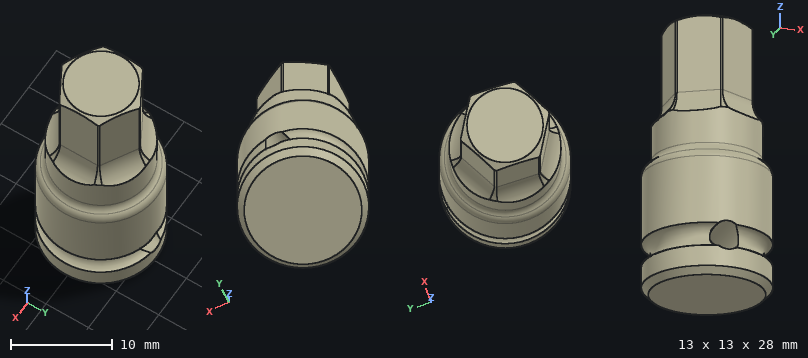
import cadquery as cq
import math

total_height = 28.0
body_radius = 6.5
neck_radius = 5.52
base_chamfer = 0.7

groove_center_z = 4.03
groove_width = 2.38
groove_depth = 0.98
cross_hole_diameter = 3.0

shoulder_top_z = 14.0
shoulder_radius = 1.0

hex_across_flats = 8.0
hex_corner_radius = 4.55
hex_bottom_z = 20.0
flare_radius = 3.0
tip_radius = 3.75
tip_chamfer_angle = 30.0


def make_body():
    """Turned body and neck, up to the floor from which the hexagon flares."""
    groove_bottom_z = groove_center_z - groove_width / 2
    groove_top_z = groove_center_z + groove_width / 2

    half_step = (body_radius - neck_radius) / 2
    sweep = math.acos(1 - half_step / shoulder_radius)
    half_height = shoulder_radius * math.sin(sweep)
    middle_radius = neck_radius + half_step
    middle_z = shoulder_top_z - half_height
    body_top_z = middle_z - half_height
    arc_offset = shoulder_radius * (1 - math.cos(sweep / 2))
    arc_rise = shoulder_radius * math.sin(sweep / 2)

    flare_floor_z = hex_bottom_z - flare_radius
    profile = (
        cq.Workplane("XZ")
        .lineTo(body_radius - base_chamfer, 0)
        .lineTo(body_radius, base_chamfer)
        .lineTo(body_radius, groove_bottom_z)
        .threePointArc((body_radius - groove_depth, groove_center_z), (body_radius, groove_top_z))
        .lineTo(body_radius, body_top_z)
        .threePointArc((body_radius - arc_offset, body_top_z + arc_rise), (middle_radius, middle_z))
        .threePointArc((neck_radius + arc_offset, shoulder_top_z - arc_rise), (neck_radius, shoulder_top_z))
        .lineTo(neck_radius, flare_floor_z)
        .lineTo(0, flare_floor_z)
        .close()
    )
    return profile.revolve(360, (0, 0, 0), (0, 1, 0))


def make_hex_bit():
    """Hexagon with rounded corners, flared into the neck and chamfered at the tip."""
    floor_z = hex_bottom_z - flare_radius
    plate_thickness = 1.4
    plate_radius = hex_corner_radius + 2 * flare_radius
    sharp_corner_diameter = hex_across_flats / math.cos(math.radians(30))

    hexagon = (
        cq.Workplane("XY", origin=(0, 0, floor_z))
        .transformed(rotate=(0, 0, 90))
        .polygon(6, sharp_corner_diameter)
        .extrude(total_height - floor_z)
    )
    corner_cylinder = (
        cq.Workplane("XY", origin=(0, 0, floor_z))
        .circle(hex_corner_radius)
        .extrude(total_height - floor_z)
    )
    hexagon = hexagon.intersect(corner_cylinder)

    plate = (
        cq.Workplane("XY", origin=(0, 0, floor_z - plate_thickness))
        .circle(plate_radius)
        .extrude(plate_thickness)
    )
    tolerance = 0.03
    root_edges = cq.selectors.BoxSelector(
        (-neck_radius, -neck_radius, floor_z - tolerance),
        (neck_radius, neck_radius, floor_z + tolerance),
        boundingbox=True,
    )
    flared = plate.union(hexagon).edges(root_edges).fillet(flare_radius)

    tip_drop = (neck_radius - tip_radius) * math.tan(math.radians(tip_chamfer_angle))
    envelope = (
        cq.Workplane("XZ")
        .moveTo(0, floor_z - plate_thickness)
        .lineTo(neck_radius, floor_z - plate_thickness)
        .lineTo(neck_radius, total_height - tip_drop)
        .lineTo(tip_radius, total_height)
        .lineTo(0, total_height)
        .close()
        .revolve(360, (0, 0, 0), (0, 1, 0))
    )
    return flared.intersect(envelope)


def make_cross_hole():
    """Cutter for the hole running through the body along Y."""
    return (
        cq.Workplane("XZ")
        .center(0, groove_center_z)
        .circle(cross_hole_diameter / 2)
        .extrude(body_radius, both=True)
    )


result = make_body().union(make_hex_bit()).cut(make_cross_hole())